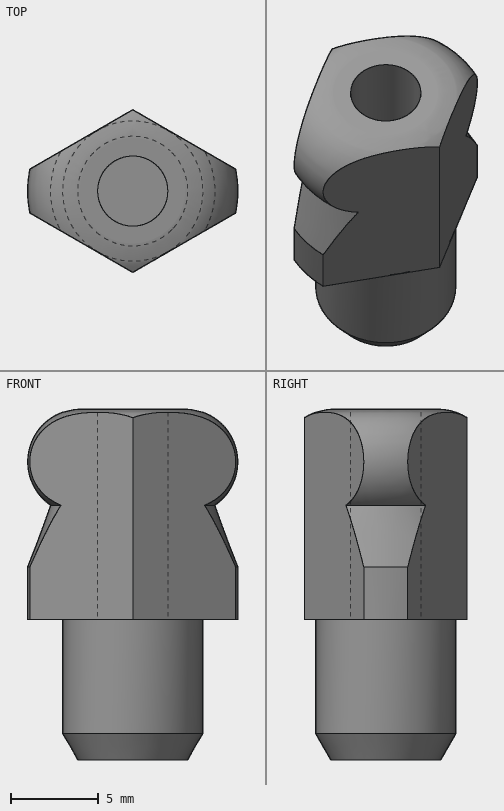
import cadquery as cq
import math

total_height = 20.0
shoulder_z = 8.0

shank_radius = 4.0
tip_height = 1.5
tip_angle = 30.0
tip_radius = shank_radius - tip_height * math.tan(math.radians(tip_angle))

head_radius = 6.0
crown_radius = 3.0
waist_z = 14.52
skirt_top_z = 11.0
head_width_y = 9.28
flank_angle = 30.0

bore_radius = 2.0
bore_depth = total_height - shoulder_z


def make_head():
    """Turned head trimmed by four flat flanks."""
    crown_center_r = head_radius - crown_radius
    crown_center_z = total_height - crown_radius
    drop = crown_center_z - waist_z
    waist_radius = crown_center_r + math.sqrt(crown_radius**2 - drop**2)
    turned = (
        cq.Workplane("YZ")
        .moveTo(0, shoulder_z)
        .lineTo(head_radius, shoulder_z)
        .lineTo(head_radius, skirt_top_z)
        .lineTo(waist_radius, waist_z)
        .threePointArc((head_radius, crown_center_z), (crown_center_r, total_height))
        .lineTo(0, total_height)
        .close()
        .revolve(360, (0, 0, 0), (0, 1, 0))
    )
    half_y = head_width_y / 2
    half_x = half_y / math.tan(math.radians(flank_angle))
    rhombus = (
        cq.Workplane("XY")
        .workplane(offset=shoulder_z)
        .polyline([(half_x, 0), (0, half_y), (-half_x, 0), (0, -half_y)])
        .close()
        .extrude(total_height - shoulder_z)
    )
    return turned.intersect(rhombus)


def make_shank():
    """Round shank with a tapered tip."""
    return (
        cq.Workplane("YZ")
        .polyline([
            (0, 0),
            (tip_radius, 0),
            (shank_radius, tip_height),
            (shank_radius, shoulder_z),
            (0, shoulder_z),
        ])
        .close()
        .revolve(360, (0, 0, 0), (0, 1, 0))
    )


bore = (
    cq.Workplane("XY")
    .workplane(offset=total_height - bore_depth)
    .circle(bore_radius)
    .extrude(bore_depth)
)

result = make_head().union(make_shank()).cut(bore)